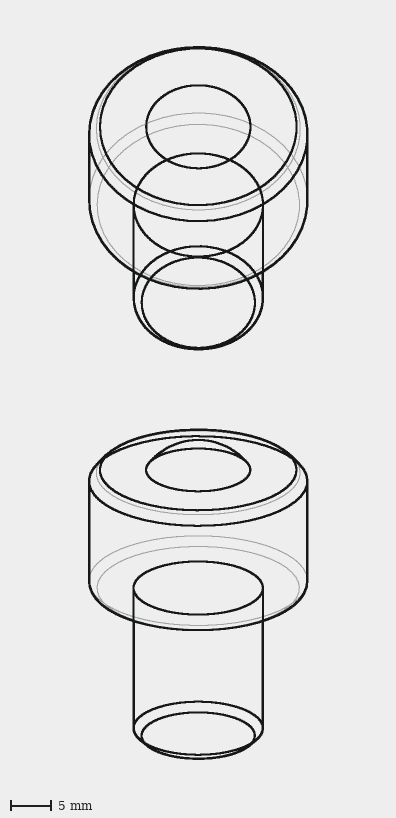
import cadquery as cq
import math

shank_diameter = 16.0
shank_length = 20.0
shank_chamfer = 1.0

head_diameter = 27.0
head_height = 16.0
head_bottom_fillet = 1.0

bevel_height = 1.5
bevel_step_width = 0.9
rim_height = 0.4
rim_width = 0.45

ball_diameter = 15.875
ball_protrusion = 3.3

head_radius = head_diameter / 2
shank_radius = shank_diameter / 2
ball_radius = ball_diameter / 2
ball_center_z = head_height + ball_protrusion - ball_radius
ball_opening_radius = math.sqrt(ball_radius**2 - (head_height - ball_center_z) ** 2)


def make_shank():
    """Plain cylinder below the head, chamfered at its free end."""
    shank = cq.Workplane("XY").circle(shank_radius).extrude(-shank_length)
    return shank.faces("<Z").chamfer(shank_chamfer)


def make_head():
    """Turned head with a rounded lower edge, a beveled top edge and the exposed ball cap."""
    rim_outer_radius = head_radius - bevel_step_width
    top_face_radius = rim_outer_radius - rim_width
    ball_top_z = head_height + ball_protrusion
    half_polar_angle = math.asin(ball_opening_radius / ball_radius) / 2
    cap_mid_point = (
        ball_radius * math.sin(half_polar_angle),
        ball_center_z + ball_radius * math.cos(half_polar_angle),
    )
    profile = (
        cq.Workplane("XZ")
        .lineTo(head_radius - head_bottom_fillet, 0)
        .radiusArc((head_radius, head_bottom_fillet), -head_bottom_fillet)
        .lineTo(head_radius, head_height - bevel_height)
        .lineTo(rim_outer_radius, head_height - rim_height)
        .lineTo(top_face_radius, head_height)
        .lineTo(ball_opening_radius, head_height)
        .threePointArc(cap_mid_point, (0, ball_top_z))
        .close()
    )
    return profile.revolve(360, (0, 0, 0), (0, 1, 0))


result = make_head().union(make_shank())